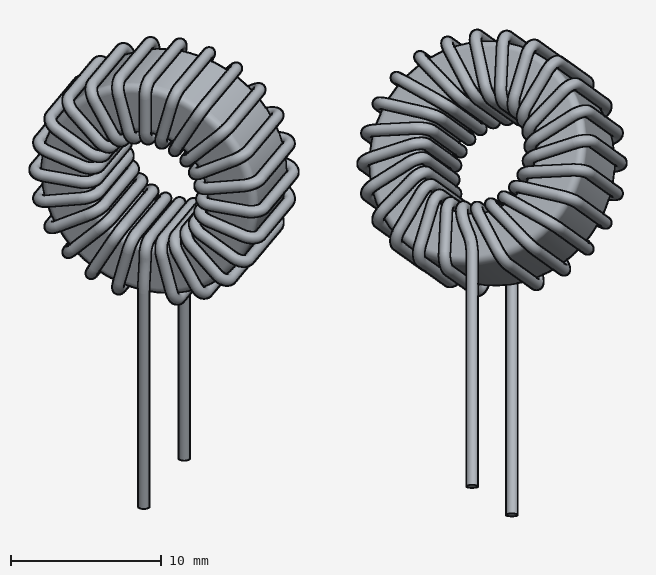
import cadquery as cq
import math


CORE_OUTER_RADIUS = 15.4 / 2
CORE_INNER_RADIUS = 8.32 / 2
CORE_HALF_WIDTH = 6.15 / 2
CORE_FILLET = 0.5

TURN_COUNT = 24
TURN_PITCH = 360 / TURN_COUNT
WIRE_RADIUS = 0.8 / 2
WIRE_CLEARANCE = 0.015
WIRE_OFFSET = WIRE_RADIUS + WIRE_CLEARANCE
BEND_RADIUS = CORE_FILLET + WIRE_OFFSET
OUTER_RUN_RADIUS = CORE_OUTER_RADIUS + WIRE_OFFSET
INNER_RUN_RADIUS = CORE_INNER_RADIUS - WIRE_OFFSET
FACE_RUN_Y = CORE_HALF_WIDTH + WIRE_OFFSET

TOTAL_HEIGHT = 31.75
LEAD_SPAN = 8.3
LEAD_Y = LEAD_SPAN / 2 - WIRE_RADIUS
LEAD_TOP_Z = -7.17
LEAD_END_Z = OUTER_RUN_RADIUS + WIRE_RADIUS - TOTAL_HEIGHT
LEAD_ANGLE = 270

Y_AXIS = cq.Vector(0, 1, 0)
DOWN = cq.Vector(0, 0, -1)


def make_core():
    """Ring with all four circular edges rounded."""
    profile = cq.Workplane("XZ", origin=(0, CORE_HALF_WIDTH, 0))
    profile = profile.circle(CORE_OUTER_RADIUS).circle(CORE_INNER_RADIUS)
    return profile.extrude(2 * CORE_HALF_WIDTH).edges("%CIRCLE").fillet(CORE_FILLET)


def ring_point(radius, angle, y):
    """Point at a radius and angle around the core axis."""
    turn = math.radians(angle)
    return cq.Vector(radius * math.cos(turn), y, radius * math.sin(turn))


def bend(corner, arriving, leaving):
    """Quarter-circle arc that rounds a right-angled corner between two unit directions."""
    start = corner - arriving * BEND_RADIUS
    end = corner + leaving * BEND_RADIUS
    center = start + leaving * BEND_RADIUS
    middle = center + (arriving - leaving) * (BEND_RADIUS / math.sqrt(2))
    return cq.Edge.makeThreePointArc(start, middle, end)


def join_bends(bends):
    """The given bends in order, with a straight run between each neighbouring pair."""
    path = [bends[0]]
    for following in bends[1:]:
        path.append(cq.Edge.makeLine(path[-1].endPoint(), following.startPoint()))
        path.append(following)
    return path


def winding_bends():
    """All bends in order: inward on the -Y face, through the bore, outward on the +Y face.

    Runs on the -Y face are radial; runs on the +Y face slant back by one turn pitch.
    """
    bends = []
    for turn in range(TURN_COUNT):
        angle = LEAD_ANGLE - turn * TURN_PITCH
        next_angle = angle - TURN_PITCH
        inward = ring_point(-1, angle, 0)
        bore_front = ring_point(INNER_RUN_RADIUS, angle, -FACE_RUN_Y)
        bore_back = ring_point(INNER_RUN_RADIUS, angle, FACE_RUN_Y)
        rim_back = ring_point(OUTER_RUN_RADIUS, next_angle, FACE_RUN_Y)
        rim_front = ring_point(OUTER_RUN_RADIUS, next_angle, -FACE_RUN_Y)
        slant = (rim_back - bore_back).normalized()
        bends.append(bend(bore_front, inward, Y_AXIS))
        bends.append(bend(bore_back, Y_AXIS, slant))
        if turn < TURN_COUNT - 1:
            bends.append(bend(rim_back, slant, -Y_AXIS))
            bends.append(bend(rim_front, -Y_AXIS, ring_point(-1, next_angle, 0)))
    return bends


def make_winding():
    """Round wire swept along one lead, all the turns and the other lead."""
    turns = join_bends(winding_bends())
    front_end = cq.Vector(0, -LEAD_Y, LEAD_END_Z)
    front_top = cq.Vector(0, -LEAD_Y, LEAD_TOP_Z)
    back_top = cq.Vector(0, LEAD_Y, LEAD_TOP_Z)
    back_end = cq.Vector(0, LEAD_Y, LEAD_END_Z)
    front_jog = cq.Edge.makeSpline([front_top, turns[0].startPoint()], tangents=[-DOWN, -DOWN])
    back_jog = cq.Edge.makeSpline(
        [turns[-1].endPoint(), back_top],
        tangents=[turns[-1].tangentAt(1), DOWN],
    )
    front_lead = cq.Edge.makeLine(front_end, front_top)
    back_lead = cq.Edge.makeLine(back_top, back_end)
    path = cq.Wire.assembleEdges([front_lead, front_jog, *turns, back_jog, back_lead])
    section = cq.Workplane("XY", origin=front_end.toTuple()).circle(WIRE_RADIUS)
    return section.sweep(cq.Workplane(path))


core = make_core()
winding = make_winding()

result = cq.Compound.makeCompound([core.val(), winding.val()])